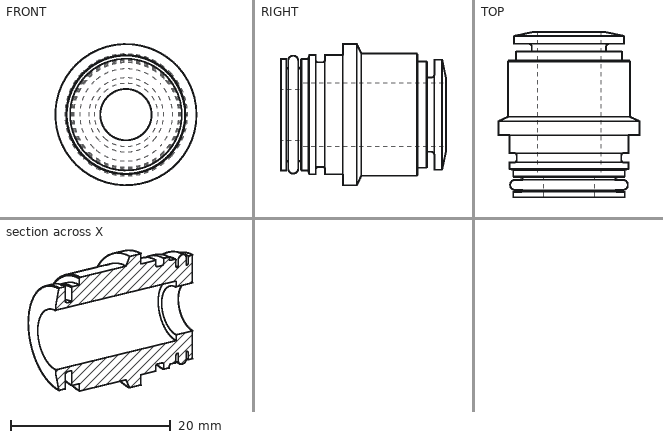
import cadquery as cq

LENGTH = 20.7

PLUG_D = 14.0
SEAL_GROOVE_D = 11.6
SEAL_GROOVE_START = 0.68
SEAL_GROOVE_END = 2.48
SEAL_SHOULDER_CHAMFER = 0.15
SEAL_ROOT_FILLET = 0.25
PLUG_END = 3.42
SEAL_D = 14.78
SEAL_WIDTH = 1.28
SEAL_CENTER = 1.55

BARREL_D = 14.95
BARREL_SLOPE_LENGTH = 0.15
CLIP_GROOVE_D = 13.15
CLIP_GROOVE_START = 4.39
CLIP_GROOVE_END = 5.53
CLIP_ROOT_FILLET = 0.25

FLANGE_D = 17.7
FLANGE_START = 7.78
FLANGE_RIM_END = 9.52
FLANGE_END = 10.08

BODY_D = 15.34
BODY_END = 17.14
BODY_CHAMFER = 0.15
COLLAR_D = 13.33
COLLAR_END = 18.3
COLLAR_CHAMFER = 0.1

NECK_D = 9.34
HEAD_D = 13.8
HEAD_START = 19.2
HEAD_RIM_END = 20.22
HEAD_RIM_CHAMFER = 0.08
HEAD_TOP_D = 9.07
HEAD_ROOT_FILLET = 0.37

BORE_D = 6.4
BORE_DEPTH = 2.53
TUBE_BORE_D = 7.95


def cylinder(diameter, start, end):
    """Solid cylinder along Y between two stations."""
    return cq.Workplane("XZ", origin=(0, start, 0)).circle(diameter / 2).extrude(start - end)


def fillet_ring(diameter, wall, radius, direction):
    """Concave ring filling the corner between a cylinder and a wall; direction points away from the wall."""
    root = diameter / 2
    end = wall + direction * radius
    return (
        cq.Workplane("XY")
        .moveTo(root, wall)
        .lineTo(root + radius, wall)
        .radiusArc((root, end), direction * radius)
        .close()
        .revolve(360, (0, 0, 0), (0, 1, 0))
    )


def make_plug():
    front_land = cylinder(PLUG_D, 0, SEAL_GROOVE_START)
    groove = cylinder(SEAL_GROOVE_D, SEAL_GROOVE_START, SEAL_GROOVE_END)
    back_land = cylinder(PLUG_D, SEAL_GROOVE_END, PLUG_END).faces("<Y").chamfer(SEAL_SHOULDER_CHAMFER)
    plug = front_land.union(groove).union(back_land)
    plug = plug.union(fillet_ring(SEAL_GROOVE_D, SEAL_GROOVE_START, SEAL_ROOT_FILLET, 1))
    return plug.union(fillet_ring(SEAL_GROOVE_D, SEAL_GROOVE_END, SEAL_ROOT_FILLET, -1))


def make_seal():
    """Rubber ring with a fully rounded rim and flat sides reaching the groove floor."""
    floor = SEAL_GROOVE_D / 2
    half_width = SEAL_WIDTH / 2
    round_start = SEAL_D / 2 - half_width
    front = SEAL_CENTER - half_width
    back = SEAL_CENTER + half_width
    return (
        cq.Workplane("XY")
        .moveTo(floor, front)
        .lineTo(round_start, front)
        .threePointArc((SEAL_D / 2, SEAL_CENTER), (round_start, back))
        .lineTo(floor, back)
        .close()
        .revolve(360, (0, 0, 0), (0, 1, 0))
    )


def make_barrel():
    slope_width = (BARREL_D - PLUG_D) / 2
    front_land = cylinder(BARREL_D, PLUG_END, CLIP_GROOVE_START)
    front_land = front_land.faces("<Y").edges().chamfer(BARREL_SLOPE_LENGTH, slope_width)
    groove = cylinder(CLIP_GROOVE_D, CLIP_GROOVE_START, CLIP_GROOVE_END)
    back_land = cylinder(BARREL_D, CLIP_GROOVE_END, FLANGE_START)
    barrel = front_land.union(groove).union(back_land)
    barrel = barrel.union(fillet_ring(CLIP_GROOVE_D, CLIP_GROOVE_START, CLIP_ROOT_FILLET, 1))
    return barrel.union(fillet_ring(CLIP_GROOVE_D, CLIP_GROOVE_END, CLIP_ROOT_FILLET, -1))


def make_flange():
    slope_width = (FLANGE_D - BODY_D) / 2
    flange = cylinder(FLANGE_D, FLANGE_START, FLANGE_END)
    return flange.faces(">Y").edges().chamfer(FLANGE_END - FLANGE_RIM_END, slope_width)


def make_body():
    body = cylinder(BODY_D, FLANGE_END, BODY_END).faces(">Y").chamfer(BODY_CHAMFER)
    collar = cylinder(COLLAR_D, BODY_END, COLLAR_END).faces(">Y").chamfer(COLLAR_CHAMFER)
    return body.union(collar)


def make_button():
    neck = cylinder(NECK_D, COLLAR_END, HEAD_START)
    head = (
        cq.Workplane("XY")
        .moveTo(0, HEAD_START)
        .lineTo(HEAD_D / 2, HEAD_START)
        .lineTo(HEAD_D / 2, HEAD_RIM_END - HEAD_RIM_CHAMFER)
        .lineTo(HEAD_D / 2 - HEAD_RIM_CHAMFER, HEAD_RIM_END)
        .lineTo(HEAD_TOP_D / 2, LENGTH)
        .lineTo(0, LENGTH)
        .close()
        .revolve(360, (0, 0, 0), (0, 1, 0))
    )
    return neck.union(head).union(fillet_ring(NECK_D, HEAD_START, HEAD_ROOT_FILLET, -1))


def make_passage():
    return cylinder(BORE_D, 0, BORE_DEPTH).union(cylinder(TUBE_BORE_D, BORE_DEPTH, LENGTH))


result = make_plug()
for section in (make_seal(), make_barrel(), make_flange(), make_body(), make_button()):
    result = result.union(section)
result = result.cut(make_passage())